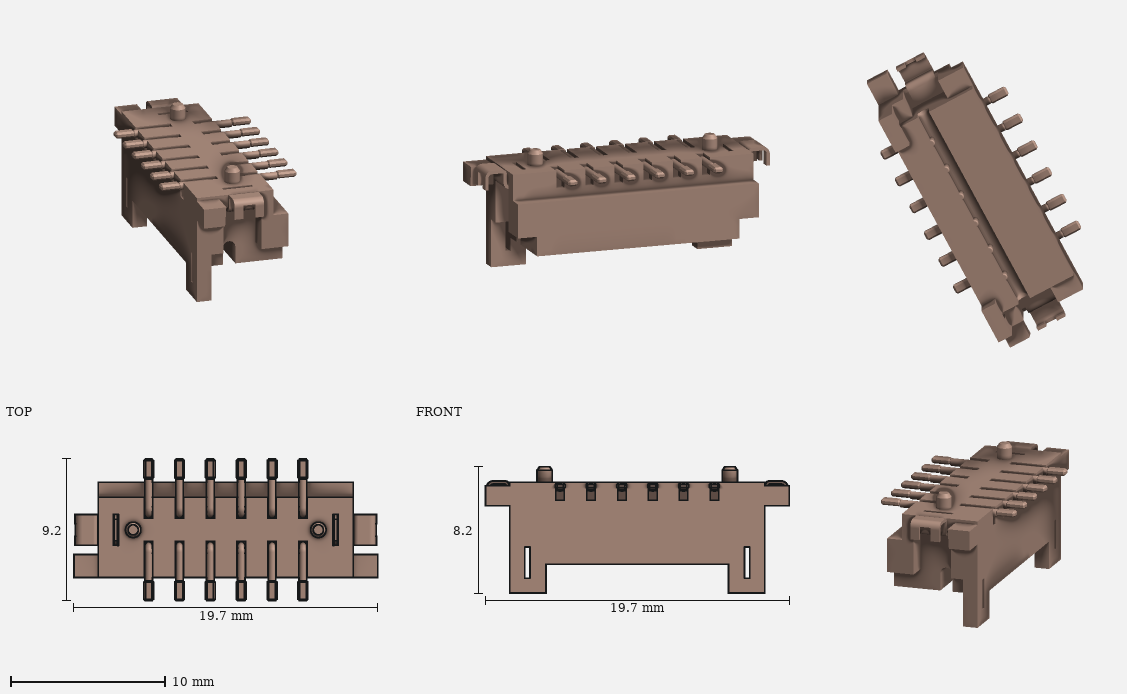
import cadquery as cq


SHELL_LENGTH = 16.55
HOUSING_DEPTH = 6.2
SHELL_BOTTOM = -4.02
HALF_LENGTH = SHELL_LENGTH / 2
HALF_DEPTH = HOUSING_DEPTH / 2
WALL = 1.0
FRONT_WALL_Y = (-HALF_DEPTH, WALL - HALF_DEPTH)
SHELF_LEVEL = -1.75

BLOCK_LENGTH = 13.92
BLOCK_BOTTOM = -5.33
LEG_BOTTOM = -7.2
LEG_SPACING = 11.8

CHANNEL_Y = -0.51
CHANNEL_RADIUS = 0.42
CHANNEL_TOP = -3.75

WING_SPAN = 19.7
WING_TOP = -0.23
WING_BOTTOM = -1.54
WING_REAR_TOP = -1.59
WING_REAR_BOTTOM = -1.67

POST_X = 6.0
POST_DIAMETER = 1.0
POST_HEIGHT = 1.0
POST_CHAMFER_HEIGHT = 0.25
POST_CHAMFER_INSET = 0.17

CLIP_WIDTH = 2.0
CLIP_THICKNESS = 0.22
CLIP_TOP = 0.08
CLIP_OUTER_X = 9.78
CLIP_INNER_X = 8.3
CLIP_BOTTOM = -1.24
CLIP_LEG_END = -1.19
CLIP_OUTER_RADIUS = 0.47
CLIP_INNER_RADIUS = 0.28
CLIP_FOOT_RADIUS = 0.43
CLIP_TIP_Z = -0.15
CLIP_TIP_CHAMFER = 0.3
CLIP_WINDOW_WIDTH = 0.8
CLIP_WINDOW_TOP = -0.28
RECESS_WIDTH = 2.57
RECESS_OUTER_TOP = -0.88
SLOT_WIDTH = 0.32
SLOT_X = BLOCK_LENGTH / 2 + SLOT_WIDTH / 2
LEG_SLOT_TOP = -4.21
LEG_SLOT_BOTTOM = -6.22

PIN_PITCH = 2.0
PINS_PER_ROW = 6
PIN_GROOVE_WIDTH = 0.56
PIN_GROOVE_END = 0.74
PIN_GROOVE_STEP = 1.5
PIN_GROOVE_FLOOR = -1.18
PIN_GROOVE_SHALLOW_FLOOR = -0.57
WIRE_DIAMETER = 0.51
WIRE_RADIUS = WIRE_DIAMETER / 2
WIRE_Z = -0.33
WIRE_LEG_Y = 0.98
WIRE_BEND_RADIUS = 0.46
WIRE_LEG_BOTTOM = -5.1
WIRE_TIP_FILLET = 0.1
WIRE_NECK_CHAMFER = 0.09
BLADE_TIP_Y = 4.6
BLADE_REAR_Y = 3.28
BLADE_WIDTH = 0.64
BLADE_HEIGHT = 0.41
BLADE_TOP = -0.06
BLADE_CHAMFER = 0.12


def box(x_range, y_range, z_range):
    """Axis-aligned block between the given limits."""
    (x0, x1), (y0, y1), (z0, z1) = x_range, y_range, z_range
    return cq.Workplane("XY").box(x1 - x0, y1 - y0, z1 - z0, centered=False).translate((x0, y0, z0))


def centred(width, middle=0.0):
    """Limits of a span of the given width about a middle position."""
    return (middle - width / 2, middle + width / 2)


def both_ends(solid):
    """A feature at the +X end together with its mirror image at the -X end."""
    return solid.union(solid.mirror("YZ"))


def housing_body():
    shell = box(centred(SHELL_LENGTH), centred(HOUSING_DEPTH), (SHELL_BOTTOM, 0))
    shelf = box(centred(SHELL_LENGTH), (HALF_DEPTH - WALL, HALF_DEPTH), (SHELF_LEVEL, 0))
    block = box(centred(BLOCK_LENGTH), centred(HOUSING_DEPTH), (BLOCK_BOTTOM, SHELL_BOTTOM))
    front_wall = box(centred(SHELL_LENGTH), FRONT_WALL_Y, (LEG_BOTTOM, SHELL_BOTTOM))
    leg_gap = box(centred(LEG_SPACING), FRONT_WALL_Y, (LEG_BOTTOM, BLOCK_BOTTOM))
    return shell.cut(shelf).union(block).union(front_wall.cut(leg_gap))


def wing_bar():
    """Bar along the front edge whose ends project as wings; its rear face leans slightly forward."""
    return (
        cq.Workplane("YZ")
        .polyline([
            (-HALF_DEPTH, WING_BOTTOM),
            (WING_REAR_BOTTOM, WING_BOTTOM),
            (WING_REAR_TOP, WING_TOP),
            (-HALF_DEPTH, WING_TOP),
        ])
        .close()
        .extrude(WING_SPAN / 2, both=True)
    )


def channel():
    """Round-topped channel along the whole mating block, open at the bottom."""
    spring_line = CHANNEL_TOP - CHANNEL_RADIUS
    return (
        cq.Workplane("YZ")
        .moveTo(CHANNEL_Y - CHANNEL_RADIUS, BLOCK_BOTTOM)
        .lineTo(CHANNEL_Y - CHANNEL_RADIUS, spring_line)
        .threePointArc((CHANNEL_Y, CHANNEL_TOP), (CHANNEL_Y + CHANNEL_RADIUS, spring_line))
        .lineTo(CHANNEL_Y + CHANNEL_RADIUS, BLOCK_BOTTOM)
        .close()
        .extrude(HALF_LENGTH, both=True)
    )


def end_recess():
    """Recess in the end face for the clip foot, with a ceiling that slopes up outwards."""
    recess_inner_top = CLIP_BOTTOM + CLIP_THICKNESS
    return (
        cq.Workplane("XZ")
        .polyline([
            (BLOCK_LENGTH / 2, SHELL_BOTTOM),
            (BLOCK_LENGTH / 2, recess_inner_top),
            (HALF_LENGTH - CLIP_THICKNESS, recess_inner_top),
            (HALF_LENGTH, RECESS_OUTER_TOP),
            (HALF_LENGTH, SHELL_BOTTOM),
        ])
        .close()
        .extrude(RECESS_WIDTH / 2, both=True)
    )


def clip_slots():
    """Slot for the clip tip in the mounting face and the slot through the front leg below it."""
    top_slot = box(centred(SLOT_WIDTH, SLOT_X), centred(CLIP_WIDTH), (CLIP_BOTTOM, 0))
    leg_slot = box(centred(SLOT_WIDTH, SLOT_X), FRONT_WALL_Y, (LEG_SLOT_BOTTOM, LEG_SLOT_TOP))
    return top_slot.union(leg_slot)


def post():
    return (
        cq.Workplane("XY")
        .center(POST_X, 0)
        .circle(POST_DIAMETER / 2)
        .extrude(POST_HEIGHT)
        .faces(">Z")
        .chamfer(POST_CHAMFER_HEIGHT, POST_CHAMFER_INSET)
    )


def clip():
    """Bent strip: outer leg, flat top, inner leg, foot running into the housing and upright tip."""
    outer_leg_inside = CLIP_OUTER_X - CLIP_THICKNESS
    inner_leg_inside = CLIP_INNER_X + CLIP_THICKNESS
    flat_start = CLIP_OUTER_X - CLIP_OUTER_RADIUS
    flat_end = CLIP_INNER_X + CLIP_INNER_RADIUS
    flat_underside = CLIP_TOP - CLIP_THICKNESS
    outer_leg_top = CLIP_TOP - CLIP_OUTER_RADIUS
    inner_leg_top = CLIP_TOP - CLIP_INNER_RADIUS
    foot_bend_z = CLIP_BOTTOM + CLIP_FOOT_RADIUS
    foot_start = inner_leg_inside - CLIP_FOOT_RADIUS
    foot_top = CLIP_BOTTOM + CLIP_THICKNESS
    tip_inside = SLOT_X - CLIP_THICKNESS / 2
    tip_outside = SLOT_X + CLIP_THICKNESS / 2
    strip = (
        cq.Workplane("XZ")
        .moveTo(CLIP_OUTER_X, CLIP_LEG_END)
        .lineTo(CLIP_OUTER_X, outer_leg_top)
        .tangentArcPoint((flat_start, CLIP_TOP), relative=False)
        .lineTo(flat_end, CLIP_TOP)
        .tangentArcPoint((CLIP_INNER_X, inner_leg_top), relative=False)
        .lineTo(CLIP_INNER_X, foot_bend_z)
        .tangentArcPoint((foot_start, foot_top), relative=False)
        .lineTo(tip_outside, foot_top)
        .lineTo(tip_outside, CLIP_TIP_Z)
        .lineTo(tip_inside, CLIP_TIP_Z)
        .lineTo(tip_inside, CLIP_BOTTOM)
        .lineTo(foot_start, CLIP_BOTTOM)
        .tangentArcPoint((inner_leg_inside, foot_bend_z), relative=False)
        .lineTo(inner_leg_inside, inner_leg_top)
        .tangentArcPoint((flat_end, flat_underside), relative=False)
        .lineTo(flat_start, flat_underside)
        .tangentArcPoint((outer_leg_inside, outer_leg_top), relative=False)
        .lineTo(outer_leg_inside, CLIP_LEG_END)
        .close()
        .extrude(CLIP_WIDTH / 2, both=True)
    )
    window = box((flat_start, CLIP_OUTER_X), centred(CLIP_WINDOW_WIDTH), (CLIP_LEG_END, CLIP_WINDOW_TOP))
    tip_edges = cq.selectors.BoxSelector(
        (tip_inside - CLIP_THICKNESS, -CLIP_WIDTH, CLIP_TIP_Z - CLIP_THICKNESS),
        (tip_outside + CLIP_THICKNESS, CLIP_WIDTH, CLIP_TIP_Z + CLIP_THICKNESS),
    )
    return strip.edges(tip_edges).edges("|X").chamfer(CLIP_TIP_CHAMFER).cut(window)


def pin_groove(x):
    """Groove for one front pin; it is shallow around the wire bend and deeper towards the front face."""
    width = centred(PIN_GROOVE_WIDTH, x)
    shallow = box(width, (-HALF_DEPTH, -PIN_GROOVE_END), (PIN_GROOVE_SHALLOW_FLOOR, 0))
    deep = box(width, (-HALF_DEPTH, -PIN_GROOVE_STEP), (PIN_GROOVE_FLOOR, 0))
    return shallow.union(deep)


def front_pin(x):
    """Round wire rising from the mating block and bent forward, ending in a flattened solder blade."""
    bend_y = WIRE_LEG_Y + WIRE_BEND_RADIUS
    bend_z = WIRE_Z - WIRE_BEND_RADIUS
    leg = (
        cq.Workplane("XY", origin=(x, -WIRE_LEG_Y, WIRE_LEG_BOTTOM))
        .circle(WIRE_RADIUS)
        .extrude(bend_z - WIRE_LEG_BOTTOM)
        .faces("<Z")
        .edges()
        .fillet(WIRE_TIP_FILLET)
    )
    bend = (
        cq.Workplane("XY", origin=(x, -WIRE_LEG_Y, bend_z))
        .circle(WIRE_RADIUS)
        .revolve(90, (0, -WIRE_BEND_RADIUS, 0), (1, -WIRE_BEND_RADIUS, 0))
    )
    wire = (
        cq.Workplane("XZ", origin=(x, -bend_y, WIRE_Z))
        .circle(WIRE_RADIUS)
        .extrude(BLADE_REAR_Y + WIRE_NECK_CHAMFER - bend_y)
        .faces("<Y")
        .chamfer(WIRE_NECK_CHAMFER)
    )
    blade = box(
        centred(BLADE_WIDTH, x), (-BLADE_TIP_Y, -BLADE_REAR_Y), (BLADE_TOP - BLADE_HEIGHT, BLADE_TOP)
    )
    blade = blade.edges().chamfer(BLADE_CHAMFER)
    return leg.union(bend).union(wire).union(blade)


connector = housing_body().union(wing_bar())
connector = connector.cut(channel())
connector = connector.cut(both_ends(end_recess().union(clip_slots())))
connector = connector.union(both_ends(post()))

pin_positions = [(i - (PINS_PER_ROW - 1) / 2) * PIN_PITCH for i in range(PINS_PER_ROW)]
for pin_x in pin_positions:
    groove = pin_groove(pin_x)
    connector = connector.cut(groove).cut(groove.mirror("XZ"))
for pin_x in pin_positions:
    pin = front_pin(pin_x)
    connector = connector.union(pin).union(pin.mirror("XZ"))

result = connector.union(both_ends(clip()))